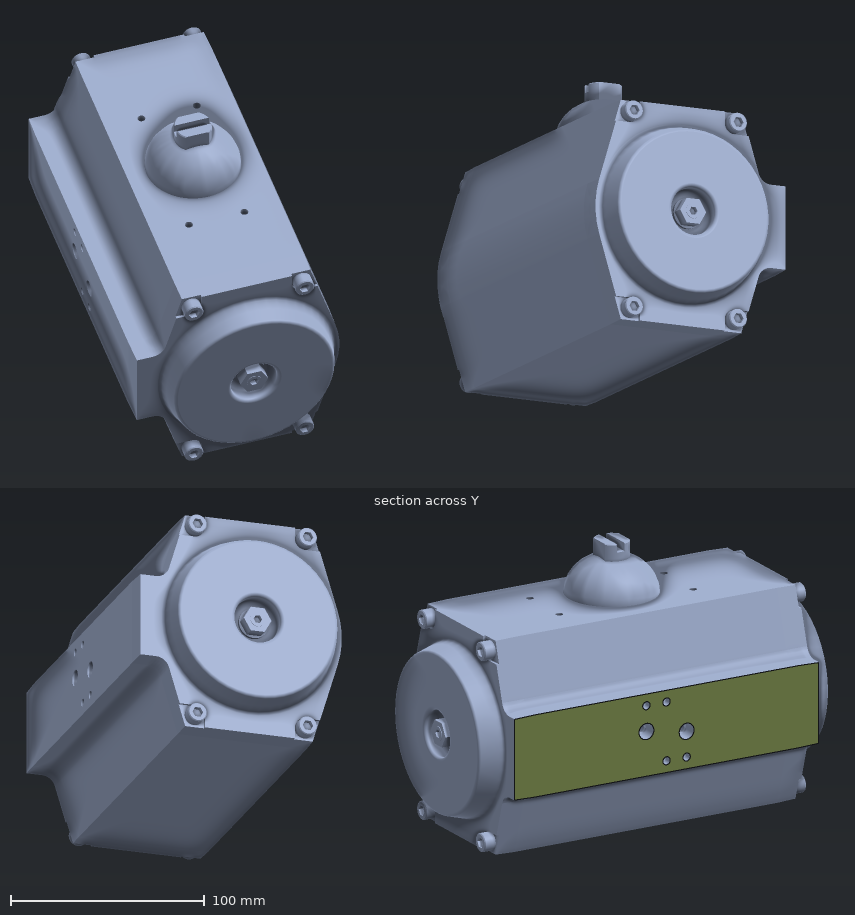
import math

import cadquery as cq

BODY_LENGTH = 156.6
END_PLATE_OUTER_X = 91.0
END_PLATE_DRAFT = 1.8
HALF_HEIGHT = 58.5
FLAT_HALF_WIDTH = 35.0
BARREL_RADIUS = 50.5
PAD_FACE_Y = -60.0
PAD_HALF_HEIGHT = 22.5
PAD_ROOT_FILLET = 7.0

CAP_OUTER_X = 104.5
CAP_BASE_RADIUS = 47.0
CAP_DRAFT = 16.0
CAP_ROOT_FILLET = 1.8
CAP_RIM_FILLET = 1.8
RECESS_DIAMETER = 25.0
RECESS_DEPTH = 9.0
RECESS_RIM_FILLET = 2.0
RECESS_FLOOR_FILLET = 3.3

WASHER_DIAMETER = 16.0
WASHER_THICKNESS = 1.5
NUT_ACROSS_FLATS = 13.0
NUT_FACE_DEPTH = 1.0
ADJUSTER_DIAMETER = 8.0
ADJUSTER_END_DEPTH = 0.7
ADJUSTER_SOCKET = 4.0
ADJUSTER_SOCKET_DEPTH = 3.0

SCREW_Y = 30.0
SCREW_Z = 52.0
SCREW_HEAD_DIAMETER = 10.0
SCREW_HEAD_HEIGHT = 6.4
SCREW_HEAD_CHAMFER = 0.5
SCREW_SOCKET = 5.0
SCREW_SOCKET_DEPTH = 3.0
SCREW_SEAT_RADIUS = 5.5
SCREW_SEAT_DEPTH = 1.5

COLLAR_DIAMETER = 35.0
COLLAR_HEIGHT = 1.1
DOME_BASE_RADIUS = 25.0
DOME_HEIGHT = 21.2
SHAFT_TOP_Z = 88.5
SHAFT_DIAMETER = 19.5
SHAFT_ACROSS_FLATS = 15.0
SHAFT_TOP_CHAMFER = 0.5
SHAFT_SLOT_WIDTH = 4.5
SHAFT_SLOT_DEPTH = 4.5

DRILL_TIP_ANGLE = 118.0
TAPPED_DIAMETER = 4.13
TAPPED_DEPTH = 8.0
TOP_HOLE_X = 40.0
TOP_HOLE_Y = 15.0
PORT_DIAMETER = 8.57
PORT_DEPTH = 12.0
PORT_X = 12.0
PORT_Z = 2.0
PAD_HOLE_PITCH = 12.0
PAD_HOLE_Z = 16.0

OVERLAP = 1.0


def housing_profile(plane):
    """Closed cross-section: flat top and bottom, sides tangent to the barrel, pad on -Y."""
    corner_distance = math.hypot(FLAT_HALF_WIDTH, HALF_HEIGHT)
    corner_angle = math.atan2(HALF_HEIGHT, FLAT_HALF_WIDTH)
    tangent_angle = corner_angle - math.acos(BARREL_RADIUS / corner_distance)
    tangent_y = BARREL_RADIUS * math.cos(tangent_angle)
    tangent_z = BARREL_RADIUS * math.sin(tangent_angle)

    root_y = (BARREL_RADIUS - PAD_HALF_HEIGHT * math.sin(tangent_angle)) / math.cos(tangent_angle)
    turn = math.pi / 2 - tangent_angle
    tangent_length = PAD_ROOT_FILLET * math.tan(turn / 2)
    slope_y = root_y - tangent_length * math.sin(tangent_angle)
    slope_z = PAD_HALF_HEIGHT + tangent_length * math.cos(tangent_angle)
    pad_y = root_y + tangent_length
    centre_z = PAD_HALF_HEIGHT + PAD_ROOT_FILLET
    mid_y = pad_y - PAD_ROOT_FILLET * math.sin(turn / 2)
    mid_z = centre_z - PAD_ROOT_FILLET * math.cos(turn / 2)

    return (
        plane.moveTo(FLAT_HALF_WIDTH, HALF_HEIGHT)
        .lineTo(-FLAT_HALF_WIDTH, HALF_HEIGHT)
        .lineTo(-slope_y, slope_z)
        .threePointArc((-mid_y, mid_z), (-pad_y, PAD_HALF_HEIGHT))
        .lineTo(PAD_FACE_Y, PAD_HALF_HEIGHT)
        .lineTo(PAD_FACE_Y, -PAD_HALF_HEIGHT)
        .lineTo(-pad_y, -PAD_HALF_HEIGHT)
        .threePointArc((-mid_y, -mid_z), (-slope_y, -slope_z))
        .lineTo(-FLAT_HALF_WIDTH, -HALF_HEIGHT)
        .lineTo(FLAT_HALF_WIDTH, -HALF_HEIGHT)
        .lineTo(tangent_y, -tangent_z)
        .threePointArc((BARREL_RADIUS, 0), (tangent_y, tangent_z))
        .close()
    )


def yz_plane(x):
    """Work plane normal to +X at the given X."""
    return cq.Workplane("YZ", origin=(x, 0, 0))


def hex_prism(plane, across_flats, length):
    """Hexagonal prism standing on the plane, two of its flats facing up and down."""
    return plane.polygon(6, across_flats / math.cos(math.pi / 6)).extrude(length)


def drill(position, direction, diameter, depth):
    """Cutting tool for a blind hole with a conical drill tip."""
    radius = diameter / 2
    tip = radius / math.tan(math.radians(DRILL_TIP_ANGLE / 2))
    start = cq.Vector(*position)
    axis = cq.Vector(*direction)
    hole = cq.Solid.makeCylinder(radius, depth, start, axis)
    cone = cq.Solid.makeCone(radius, 0, tip, start + axis * depth, axis)
    return cq.Workplane(hole.fuse(cone))


def make_end_cap():
    """Conical cap on the +X end with a rounded rim."""
    height = CAP_OUTER_X - END_PLATE_OUTER_X
    rim_radius = CAP_BASE_RADIUS - height * math.tan(math.radians(CAP_DRAFT))
    return (
        yz_plane(END_PLATE_OUTER_X)
        .circle(CAP_BASE_RADIUS)
        .workplane(offset=height)
        .circle(rim_radius)
        .loft(combine=True)
        .faces(">X")
        .edges()
        .fillet(CAP_RIM_FILLET)
    )


def cut_recess(end):
    """Round recess in the cap face, rounded at the rim and at the floor."""
    floor_x = CAP_OUTER_X - RECESS_DEPTH
    tool = (
        yz_plane(floor_x)
        .circle(RECESS_DIAMETER / 2)
        .extrude(RECESS_DEPTH)
        .faces("<X")
        .edges()
        .fillet(RECESS_FLOOR_FILLET)
    )
    rim = cq.selectors.RadiusNthSelector(0)
    return end.cut(tool).faces(">X").edges(rim).fillet(RECESS_RIM_FILLET)


def add_adjuster(end):
    """Washer, lock nut and socketed screw end standing on the recess floor."""
    floor_x = CAP_OUTER_X - RECESS_DEPTH
    root_x = floor_x - OVERLAP
    nut_face_x = CAP_OUTER_X - NUT_FACE_DEPTH
    end_x = CAP_OUTER_X - ADJUSTER_END_DEPTH
    washer = yz_plane(root_x).circle(WASHER_DIAMETER / 2).extrude(OVERLAP + WASHER_THICKNESS)
    nut = hex_prism(yz_plane(root_x), NUT_ACROSS_FLATS, nut_face_x - root_x)
    screw = yz_plane(root_x).circle(ADJUSTER_DIAMETER / 2).extrude(end_x - root_x)
    socket = hex_prism(yz_plane(end_x - ADJUSTER_SOCKET_DEPTH), ADJUSTER_SOCKET, ADJUSTER_SOCKET_DEPTH)
    return end.union(washer).union(nut).union(screw).cut(socket)


def add_corner_screw(end, side_y, side_z):
    """Screw seat open to the plate corner, and the cap screw head standing in it."""
    seat_x = END_PLATE_OUTER_X - SCREW_SEAT_DEPTH
    inner_y = SCREW_Y - SCREW_SEAT_RADIUS
    inner_z = SCREW_Z - SCREW_SEAT_RADIUS
    size_y = BARREL_RADIUS - inner_y
    size_z = HALF_HEIGHT + OVERLAP - inner_z
    seat = (
        yz_plane(seat_x)
        .center(side_y * (inner_y + size_y / 2), side_z * (inner_z + size_z / 2))
        .rect(size_y, size_z)
        .extrude(SCREW_SEAT_DEPTH)
    )
    inner_edge = cq.selectors.NearestToPointSelector(
        (seat_x + SCREW_SEAT_DEPTH / 2, side_y * inner_y, side_z * inner_z)
    )
    seat = seat.edges(inner_edge).fillet(SCREW_SEAT_RADIUS)

    head = (
        yz_plane(seat_x - OVERLAP)
        .center(side_y * SCREW_Y, side_z * SCREW_Z)
        .circle(SCREW_HEAD_DIAMETER / 2)
        .extrude(OVERLAP + SCREW_HEAD_HEIGHT)
        .faces(">X")
        .edges()
        .chamfer(SCREW_HEAD_CHAMFER)
    )
    socket_plane = yz_plane(seat_x + SCREW_HEAD_HEIGHT - SCREW_SOCKET_DEPTH)
    socket_plane = socket_plane.center(side_y * SCREW_Y, side_z * SCREW_Z)
    socket = hex_prism(socket_plane, SCREW_SOCKET, SCREW_SOCKET_DEPTH)
    return end.cut(seat).union(head.cut(socket))


def make_end():
    """Complete +X end: drafted plate, cap, adjuster and four screws."""
    plate_x = BODY_LENGTH / 2
    plate = housing_profile(yz_plane(plate_x)).extrude(END_PLATE_OUTER_X - plate_x, taper=END_PLATE_DRAFT)
    end = plate.union(make_end_cap())
    root = cq.selectors.NearestToPointSelector((END_PLATE_OUTER_X, 0, 0))
    end = end.edges(root).fillet(CAP_ROOT_FILLET)
    end = add_adjuster(cut_recess(end))
    for side_y in (-1, 1):
        for side_z in (-1, 1):
            end = add_corner_screw(end, side_y, side_z)
    return end


def make_indicator():
    """Collar, half-ellipsoid dome and slotted shaft end with two flats."""
    dome_z = HALF_HEIGHT + COLLAR_HEIGHT
    height = SHAFT_TOP_Z - dome_z

    collar = (
        cq.Workplane("XY", origin=(0, 0, HALF_HEIGHT - OVERLAP))
        .circle(COLLAR_DIAMETER / 2)
        .extrude(OVERLAP + COLLAR_HEIGHT)
    )
    dome = (
        cq.Workplane("XZ")
        .moveTo(0, dome_z)
        .lineTo(DOME_BASE_RADIUS, dome_z)
        .ellipseArc(DOME_BASE_RADIUS, DOME_HEIGHT, 0, 90, startAtCurrent=True)
        .close()
        .revolve(360, (0, 0, 0), (0, 1, 0))
    )
    flats = cq.Workplane("XY", origin=(0, 0, dome_z)).rect(SHAFT_ACROSS_FLATS, SHAFT_DIAMETER).extrude(height)
    shaft = (
        cq.Workplane("XY", origin=(0, 0, dome_z))
        .circle(SHAFT_DIAMETER / 2)
        .extrude(height)
        .faces(">Z")
        .edges()
        .chamfer(SHAFT_TOP_CHAMFER)
        .intersect(flats)
    )
    slot_z = SHAFT_TOP_Z - SHAFT_SLOT_DEPTH
    slot = (
        cq.Workplane("XY", origin=(0, 0, slot_z))
        .rect(SHAFT_SLOT_WIDTH, SHAFT_DIAMETER)
        .extrude(SHAFT_SLOT_DEPTH)
    )
    centre_hole = drill((0, 0, slot_z), (0, 0, -1), TAPPED_DIAMETER, TAPPED_DEPTH)
    return collar.union(dome).union(shaft).cut(slot).cut(centre_hole)


def cut_top_holes(body):
    """Accessory mounting holes around the indicator."""
    for x in (-TOP_HOLE_X, TOP_HOLE_X):
        for y in (-TOP_HOLE_Y, TOP_HOLE_Y):
            body = body.cut(drill((x, y, HALF_HEIGHT), (0, 0, -1), TAPPED_DIAMETER, TAPPED_DEPTH))
    return body


def cut_pad_holes(body):
    """Two air ports and four tapped holes in the pad face, alike under a half turn about Y."""
    for side in (-1, 1):
        port = (side * PORT_X, PAD_FACE_Y, -side * PORT_Z)
        body = body.cut(drill(port, (0, 1, 0), PORT_DIAMETER, PORT_DEPTH))
        for x in (0, side * PAD_HOLE_PITCH):
            hole = (x, PAD_FACE_Y, -side * PAD_HOLE_Z)
            body = body.cut(drill(hole, (0, 1, 0), TAPPED_DIAMETER, TAPPED_DEPTH))
    return body


body = housing_profile(yz_plane(-BODY_LENGTH / 2)).extrude(BODY_LENGTH)
body = cut_pad_holes(cut_top_holes(body))
end = make_end()
result = body.union(end).union(end.mirror("YZ")).union(make_indicator())